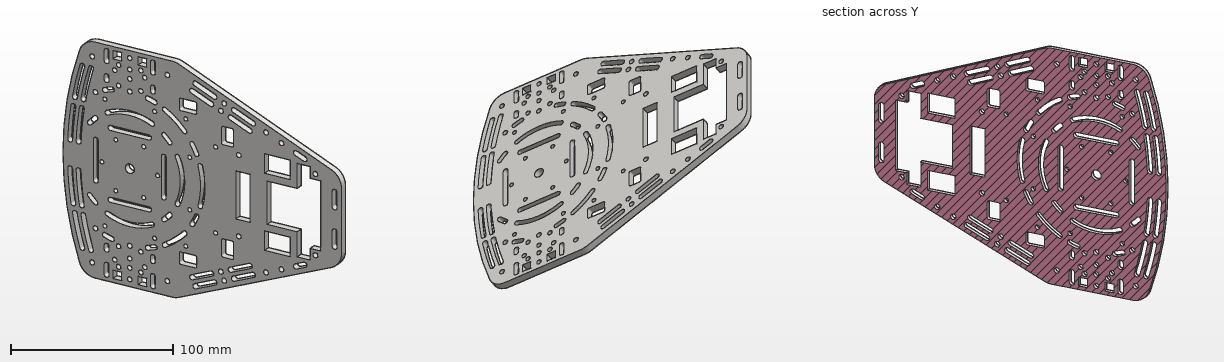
import cadquery as cq
import math


LENGTH = 199.5
HEIGHT = 160.0
THICKNESS = 5.0
TAIL_X = -47.9
NOSE_X = TAIL_X + LENGTH
BOW_RADIUS = 223.5
BOW_CENTER = (TAIL_X + BOW_RADIUS, 0)
SHOULDER = (33.0, HEIGHT / 2)
TAPER_ANGLE = -22.8
CORNER_RADIUS = 12.0

BORE = 6.4
SCREW_HOLE = 3.4
MOUNT_HOLE = 3.2
SMALL_HOLE = 2.8
SLOT_WIDTH = 3.4
RING_SLOT_WIDTH = 3.2
ROW_INSET = 5.0
ROW_PITCH = 6.0

SCREW_CIRCLE_RADIUS = 20.0
INNER_RING_RADIUS = 37.7
MIDDLE_RING_RADIUS = 46.5
OUTER_RING_RADIUS = 52.3
HUB_SLOT_OFFSET = 24.3
HUB_SLOT_LENGTH = 31.0
LONG_INNER_HALF_SPAN = 25.2
SHORT_INNER_HALF_SPAN = 4.5

TAPER_SLOT_LENGTH = 18.4
TAPER_SLOT_START = 24.7
TAPER_SLOT_PITCH = 30.0
TAPER_END_HOLES = (72.2, 84.2)
TAPER_END_SLOT = 98.8
END_SLOT_LENGTH = 10.2

LONG_MOUNT_SLOT = 10.2
SHORT_MOUNT_SLOT = 6.0
MOUNT_COLUMN_X = 16.5
NOSE_SLOT_LENGTH = 13.8
WINDOW_LONG = 12.4
WINDOW_SHORT = 8.4
WINDOW_CORNER_RADIUS = 1.0


def polar(center, radius, angle):
    """Point at an angle in degrees on a circle."""
    a = math.radians(angle)
    return (center[0] + radius * math.cos(a), center[1] + radius * math.sin(a))


def plane():
    """Workplane through the origin, drawn in X and Z."""
    return cq.Workplane("XZ")


def holes(diameter, points):
    return plane().pushPoints(points).circle(diameter / 2).extrude(THICKNESS).solids().vals()


def slots(length, angle, points):
    """Straight round-ended slots, with their overall length."""
    return plane().pushPoints(points).slot2D(length, SLOT_WIDTH, angle).extrude(THICKNESS).solids().vals()


def windows(width, height, points, corner=0.0):
    cutter = plane().pushPoints(points).rect(width, height).extrude(THICKNESS)
    if corner:
        cutter = cutter.edges("|Y").fillet(corner)
    return cutter.solids().vals()


def arc_slot(center, radius, start, end, width):
    """Curved slot whose end caps are centred at the start and end angles."""
    cap = width / 2
    inner = radius - cap
    outer = radius + cap
    middle = (start + end) / 2
    start_tip = polar(polar(center, radius, start), cap, start - 90)
    end_tip = polar(polar(center, radius, end), cap, end + 90)
    profile = (
        plane()
        .moveTo(*polar(center, outer, start))
        .threePointArc(polar(center, outer, middle), polar(center, outer, end))
        .threePointArc(end_tip, polar(center, inner, end))
        .threePointArc(polar(center, inner, middle), polar(center, inner, start))
        .threePointArc(start_tip, polar(center, outer, start))
        .close()
    )
    return profile.extrude(THICKNESS).solids().vals()


def ring_slot(radius, middle, half_span):
    return arc_slot((0, 0), radius, middle - half_span, middle + half_span, RING_SLOT_WIDTH)


def both_sides(x, z):
    """A pair of points, left and right of the bore."""
    return [(-x, z), (x, z)]


def plate():
    top = HEIGHT / 2
    corner_x = BOW_CENTER[0] - math.sqrt(BOW_RADIUS**2 - top**2)
    nose_z = top + (NOSE_X - SHOULDER[0]) * math.tan(math.radians(TAPER_ANGLE))
    return (
        plane()
        .moveTo(corner_x, top)
        .lineTo(*SHOULDER)
        .lineTo(NOSE_X, nose_z)
        .lineTo(NOSE_X, -nose_z)
        .lineTo(SHOULDER[0], -top)
        .lineTo(corner_x, -top)
        .threePointArc((TAIL_X, 0), (corner_x, top))
        .close()
        .extrude(THICKNESS)
        .edges("|Y")
        .fillet(CORNER_RADIUS)
    )


def hub_cuts():
    """Bore, screw circle and the slots that lie across Z = 0."""
    screw_circle = [polar((0, 0), SCREW_CIRCLE_RADIUS, 60 * i) for i in range(6)]
    cuts = holes(BORE, [(0, 0)])
    cuts += holes(SMALL_HOLE, screw_circle)
    cuts += slots(HUB_SLOT_LENGTH, 90, both_sides(HUB_SLOT_OFFSET, 0))
    cuts += ring_slot(INNER_RING_RADIUS, 0, LONG_INNER_HALF_SPAN)
    cuts += ring_slot(OUTER_RING_RADIUS, 0, 15.2)
    return cuts


def nose_opening():
    """Stepped opening and the upright window behind it."""
    opening = plane()
    for start_x, end_x, height in [(98.4, 136.7, 29.3), (120.0, 136.7, 47.5), (120.0, 129.0, 63.2)]:
        step = plane().center((start_x + end_x) / 2, 0).rect(end_x - start_x, height)
        opening = opening.add(step.extrude(THICKNESS))
    return opening.combine().solids().vals() + windows(10.0, 32.5, [(81.0, 0)])


def upper_ring_cuts():
    """Ring slots and ring holes above the bore."""
    cuts = slots(HUB_SLOT_LENGTH, 0, [(0, HUB_SLOT_OFFSET)])
    cuts += ring_slot(INNER_RING_RADIUS, 90, LONG_INNER_HALF_SPAN)
    for middle in (45, 135):
        cuts += ring_slot(INNER_RING_RADIUS, middle, SHORT_INNER_HALF_SPAN)
    for middle, half_span in [(27.6, 3.8), (51.4, 10.1), (72.9, 3.0), (107.1, 3.0)]:
        cuts += ring_slot(OUTER_RING_RADIUS, middle, half_span)
    cuts += holes(SMALL_HOLE, [polar((0, 0), MIDDLE_RING_RADIUS, a) for a in (22.5, 67.5, 112.5)])
    cuts += holes(SCREW_HOLE, [polar((0, 0), OUTER_RING_RADIUS, a) for a in (90, 118)])
    return cuts


def upper_mount_cuts():
    """Cluster of holes, slots and windows by the long straight edge."""
    points = [(0, 60.9), (0, 67.2), (0, 75.0)]
    for x, z in [(8.0, 54.5), (10.8, 64.2), (8.0, 68.5)]:
        points += both_sides(x, z)
    cuts = holes(MOUNT_HOLE, points)
    cuts += holes(SCREW_HOLE, both_sides(27.0, 69.8))
    cuts += slots(LONG_MOUNT_SLOT, 90, both_sides(MOUNT_COLUMN_X, 72.5))
    cuts += slots(SHORT_MOUNT_SLOT, 90, both_sides(MOUNT_COLUMN_X, 57.5))
    cuts += windows(6.0, 5.5, both_sides(9.0, 74.5))
    return cuts


def upper_bow_cuts():
    """Two rows of curved slots that follow the bowed edge."""
    cuts = []
    for row in range(2):
        radius = BOW_RADIUS - ROW_INSET - row * ROW_PITCH
        for low_z, high_z in [(9.8, 33.0), (39.3, 61.7)]:
            low_angle = 180 - math.degrees(math.asin(low_z / radius))
            high_angle = 180 - math.degrees(math.asin(high_z / radius))
            cuts += arc_slot(BOW_CENTER, radius, high_angle, low_angle, SLOT_WIDTH)
    return cuts


def taper_point(along, inset):
    """Point measured along the tapered edge from the shoulder, and in from the edge."""
    return polar(polar(SHOULDER, along, TAPER_ANGLE), inset, TAPER_ANGLE - 90)


def upper_taper_cuts():
    """Slots and holes in rows that follow the tapered edge."""
    second_row = ROW_INSET + ROW_PITCH
    between_slots = TAPER_SLOT_START + TAPER_SLOT_PITCH / 2
    cuts = []
    for inset in (ROW_INSET, second_row):
        slot_points = [taper_point(TAPER_SLOT_START + i * TAPER_SLOT_PITCH, inset) for i in range(2)]
        cuts += slots(TAPER_SLOT_LENGTH, TAPER_ANGLE, slot_points)
        cuts += holes(SCREW_HOLE, [taper_point(between_slots, inset)])
    cuts += holes(SCREW_HOLE, [taper_point(along, ROW_INSET) for along in TAPER_END_HOLES])
    cuts += slots(END_SLOT_LENGTH, TAPER_ANGLE, [taper_point(TAPER_END_SLOT, ROW_INSET)])
    return cuts


def upper_body_cuts():
    """Windows and loose holes between the hub and the nose."""
    cuts = windows(WINDOW_LONG, WINDOW_SHORT, [(41.7, 52.0)], WINDOW_CORNER_RADIUS)
    cuts += windows(WINDOW_SHORT, WINDOW_LONG, [(70.0, 38.1)], WINDOW_CORNER_RADIUS)
    cuts += windows(18.4, 13.2, [(105.7, 26.1)])
    cuts += holes(SMALL_HOLE, [(40.1, 43.0), (61.5, 29.1)])
    cuts += holes(SCREW_HOLE, [(78.0, 27.5), (132.9, 27.5)])
    cuts += slots(NOSE_SLOT_LENGTH, 90, [(146.6, 13.4)])
    return cuts


upper_cuts = upper_ring_cuts() + upper_mount_cuts() + upper_bow_cuts()
upper_cuts += upper_taper_cuts() + upper_body_cuts()
lower_cuts = [cutter.mirror("XY") for cutter in upper_cuts]
body = plate().val().cut(*hub_cuts(), *nose_opening(), *upper_cuts, *lower_cuts)
result = cq.Workplane(body.Solids()[0])